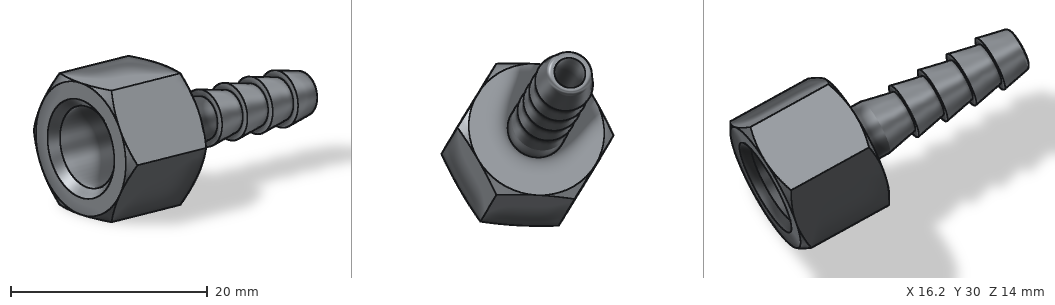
import cadquery as cq
import math

total_length = 30.0
across_flats = 14.0
nut_length = 10.5
nut_chamfer_angle = 30.0

collar_end = 13.0
barb_count = 5
barb_radius = 3.0
barb_root_radius = 2.28
tip_fillet = 0.5

bore_diameter = 3.2
socket_diameter = 8.6
socket_mouth_diameter = 10.4
socket_depth = 8.4

flat_radius = across_flats / 2
corner_radius = flat_radius / math.cos(math.radians(180 / 6))
barb_pitch = (total_length - collar_end) / barb_count
socket_chamfer = (socket_mouth_diameter - socket_diameter) / 2


def revolve_profile(points):
    """Turn a closed (radius, y) outline about the Y axis."""
    return cq.Workplane("XY").polyline(points).close().revolve(360, (0, 0, 0), (0, 1, 0))


def make_nut():
    """Hexagonal nut with its corners turned down conically at both ends."""
    hexagon = (
        cq.Workplane("XZ")
        .polygon(6, 2 * corner_radius)
        .extrude(-nut_length)
    )
    chamfer_length = (corner_radius - flat_radius) * math.tan(math.radians(nut_chamfer_angle))
    envelope = revolve_profile([
        (0, 0),
        (flat_radius, 0),
        (corner_radius, chamfer_length),
        (corner_radius, nut_length - chamfer_length),
        (flat_radius, nut_length),
        (0, nut_length),
    ])
    return hexagon.intersect(envelope)


def make_tail():
    """Plain collar followed by barbs that taper towards the rounded tip."""
    tail_start = socket_depth
    points = [(0, tail_start), (barb_radius, tail_start)]
    for index in range(barb_count):
        barb_start = collar_end + index * barb_pitch
        points.append((barb_radius, barb_start))
        points.append((barb_root_radius, barb_start + barb_pitch))
    points.append((0, total_length))
    return revolve_profile(points).faces(">Y").edges().fillet(tip_fillet)


def make_passage():
    """Chamfered flat-bottomed socket opening into the through bore."""
    return revolve_profile([
        (0, 0),
        (socket_mouth_diameter / 2, 0),
        (socket_diameter / 2, socket_chamfer),
        (socket_diameter / 2, socket_depth),
        (bore_diameter / 2, socket_depth),
        (bore_diameter / 2, total_length),
        (0, total_length),
    ])


result = make_nut().union(make_tail()).cut(make_passage())